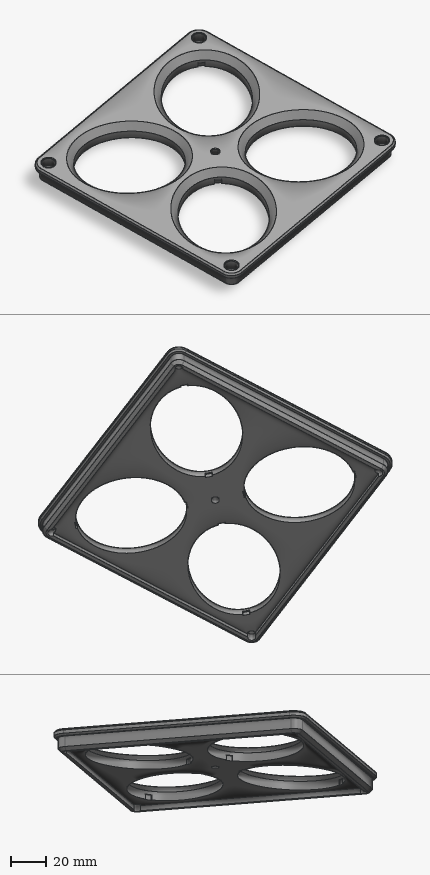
import cadquery as cq

side = 148.8
thickness = 12.0

flange_height = 4.0
flange_corner_radius = 7.7
flange_chamfer = 1.0

body_inset = 2.4
body_width = side - 2 * body_inset
body_corner_radius = flange_corner_radius - body_inset
body_chamfer = 2.0

rim_thickness = 4.0
recess_depth = 3.0
recess_corner_radius = body_corner_radius - rim_thickness

opening_offset = 34.4
opening_long_radius = 31.5
opening_short_radius = 25.7
opening_flare = 4.0
diagonal_angle = 45

screw_diameter = 4.5
corner_hole_inset = 7.6
corner_hole_offset = side / 2 - corner_hole_inset
counterbore_diameter = 7.7
counterbore_depth = 6.0
hole_mouth_chamfer = 0.5
mouth_taper = 45

notch_width = 4.0
notch_depth = 0.7
notch_height = 3.0
notch_top = recess_depth + notch_height

quadrants = [(1, 1), (-1, 1), (-1, -1), (1, -1)]


def rounded_slab(width, corner_radius, bottom, height):
    """Square slab with rounded vertical edges, standing on z = bottom."""
    slab = cq.Workplane("XY").workplane(offset=bottom).rect(width, width).extrude(height)
    return slab.edges("|Z").fillet(corner_radius)


def plate():
    """Chamfered flange on top of a body with a chamfered lower edge."""
    flange = rounded_slab(side, flange_corner_radius, thickness - flange_height, flange_height)
    flange = flange.faces("<Z or >Z").chamfer(flange_chamfer)
    body = rounded_slab(body_width, body_corner_radius, 0, thickness - flange_chamfer)
    body = body.faces("<Z").chamfer(body_chamfer)
    return flange.union(body)


def underside_recess():
    """Square hollow in the underside that leaves a rim along the body's outer wall."""
    return rounded_slab(body_width - 2 * rim_thickness, recess_corner_radius, 0, recess_depth)


def ellipse_wire(z, growth):
    """Opening outline at height z, widened by growth all round."""
    long_radius = opening_long_radius + growth
    short_radius = opening_short_radius + growth
    return cq.Wire.makeEllipse(
        long_radius, short_radius, cq.Vector(0, 0, z), cq.Vector(0, 0, 1), cq.Vector(1, 0, 0)
    )


def opening(sx, sy):
    """Elliptical cutter: straight bore flared at the top, with a notch at each end of its long axis."""
    cutter = cq.Workplane("XY").ellipse(opening_long_radius, opening_short_radius).extrude(thickness)
    flare = cq.Solid.makeLoft(
        [ellipse_wire(thickness - opening_flare, 0), ellipse_wire(thickness, opening_flare)]
    )
    notch_span = 2 * (opening_long_radius + notch_depth)
    notch_bar = cq.Workplane("XY").rect(notch_span, notch_width).extrude(notch_top)
    cutter = cutter.union(cq.Workplane(obj=flare)).union(notch_bar)
    cutter = cutter.rotate((0, 0, 0), (0, 0, 1), diagonal_angle * sx * sy)
    return cutter.translate((sx * opening_offset, sy * opening_offset, 0))


def chamfered_hole(diameter, depth):
    """Round cutter going down from the top face, with a small chamfer at its mouth."""
    bore = cq.Workplane("XY").workplane(offset=thickness - depth).circle(diameter / 2).extrude(depth)
    mouth = cq.Workplane("XY").workplane(offset=thickness).circle(diameter / 2 + hole_mouth_chamfer)
    mouth = mouth.extrude(-hole_mouth_chamfer, taper=mouth_taper)
    return bore.union(mouth)


def corner_hole(x, y):
    """Counterbored screw hole passing down through the plate and the rim."""
    shaft = cq.Workplane("XY").circle(screw_diameter / 2).extrude(thickness)
    head = chamfered_hole(counterbore_diameter, counterbore_depth)
    return shaft.union(head).translate((x, y, 0))


result = plate().cut(underside_recess())
result = result.cut(chamfered_hole(screw_diameter, thickness))
for sx, sy in quadrants:
    result = result.cut(opening(sx, sy))
    result = result.cut(corner_hole(sx * corner_hole_offset, sy * corner_hole_offset))